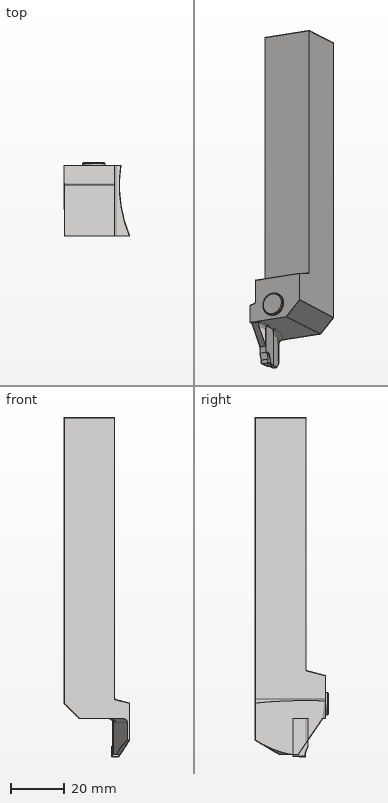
import cadquery as cq

total_height = 127.0
shank_width = 19.0
shank_depth = 19.0
head_width = 24.6
head_depth = 26.4
head_bottom = 14.4
corner_chamfer = 5.8
side_ledge_inner = 21.6
side_ledge_outer = 20.2
back_ledge_inner = 32.4
back_ledge_outer = 30.5
ledge_radius = 0.5
side_taper = 0.3

waist_y = 19.0
blade_outer_waist = 20.8
blade_inner_waist = 18.3
blade_front_thickness = 0.9
blade_bottom = 0.9
blade_front_bottom = 6.4
blade_slope_end = 9.1
blade_back_top = 25.3
blade_root_radius = 1.4
outer_corner_height = 6.4
outer_corner_foot = 21.1

insert_front = 14.1
insert_back = 19.8
insert_face = 18.2
tip_face = 17.8
tip_back = 18.8
rake_end_height = 1.5
rake_start_height = 4.0
tip_chamfer = 0.4
bottom_relief = 0.3
flare_start_y = 16.0
flare_arc_middle = (17.1, 2.9)
flare_arc_top_y = 17.9

screw_diameter = 8.5
screw_height = 1.0
screw_chamfer = 0.4
screw_x = 11.2
screw_z = 20.0


def arc_x(waist_x, front_x, y):
    """X on the circular arc that runs from front_x at y = 0 to its waist at waist_y."""
    rise = front_x - waist_x
    radius = (waist_y**2 + rise**2) / (2 * rise)
    return waist_x + radius - (radius**2 - (y - waist_y) ** 2) ** 0.5


def outer_x(y):
    return arc_x(blade_outer_waist, head_width, y)


def inner_x(y):
    return arc_x(blade_inner_waist, head_width - blade_front_thickness, y)


def extrude_along_y(points, start, end):
    """Extrude an XZ outline between two Y positions."""
    outline = cq.Workplane("XZ", origin=(0, start, 0)).polyline(points).close()
    return outline.extrude(start - end)


def extrude_along_x(points, length):
    """Extrude a YZ outline from x = 0."""
    return cq.Workplane("YZ").polyline(points).close().extrude(length)


def start_plan(left_edge):
    """Open XY outline: front edge, curved outer face and back edge, ending at the left."""
    front_left, back_left = left_edge
    middle = head_depth / 2
    return (
        cq.Workplane("XY")
        .moveTo(front_left, 0)
        .lineTo(head_width, 0)
        .threePointArc((outer_x(middle), middle), (outer_x(head_depth), head_depth))
        .lineTo(back_left, head_depth)
    )


def make_shank_and_head():
    front_outline = extrude_along_y(
        [
            (0, total_height),
            (shank_width, total_height),
            (shank_width, side_ledge_inner),
            (head_width, side_ledge_outer),
            (head_width, head_bottom),
            (corner_chamfer, head_bottom),
            (0, head_bottom + corner_chamfer),
        ],
        0,
        head_depth,
    )
    side_outline = extrude_along_x(
        [
            (0, head_bottom),
            (0, total_height),
            (shank_depth, total_height),
            (shank_depth, back_ledge_inner),
            (head_depth, back_ledge_outer),
            (head_depth, head_bottom),
        ],
        head_width,
    )
    plan = start_plan((side_taper, 0)).close().extrude(total_height)
    body = front_outline.intersect(side_outline).intersect(plan)
    ledge_corners = [
        (shank_width, shank_depth / 2, side_ledge_inner),
        (shank_width / 2, shank_depth, back_ledge_inner),
    ]
    for corner in ledge_corners:
        body = body.edges(cq.selectors.NearestToPointSelector(corner)).fillet(ledge_radius)
    return body


def make_blade():
    middle = head_depth / 2
    plan = (
        start_plan((head_width - blade_front_thickness, inner_x(head_depth)))
        .threePointArc((inner_x(middle), middle), (head_width - blade_front_thickness, 0))
        .close()
        .extrude(head_bottom)
    )
    slope = (blade_back_top - insert_back) / (head_bottom - blade_front_bottom)
    back_bottom = insert_back - slope * (blade_front_bottom - blade_bottom)
    side_outline = extrude_along_x(
        [
            (0, head_bottom),
            (0, blade_front_bottom),
            (blade_slope_end, blade_bottom),
            (back_bottom, blade_bottom),
            (blade_back_top, head_bottom),
        ],
        head_width,
    )
    corner_cut = extrude_along_y(
        [
            (head_width, outer_corner_height),
            (head_width, 0),
            (outer_corner_foot, 0),
            (outer_corner_foot, blade_bottom),
        ],
        0,
        head_depth,
    )
    return plan.intersect(side_outline).cut(corner_cut)


def make_screw_head():
    screw = cq.Workplane("XZ", origin=(screw_x, head_depth, screw_z)).circle(screw_diameter / 2)
    return screw.extrude(-screw_height).faces(">Y").chamfer(screw_chamfer)


def make_tip_flare():
    """Side flare of the tip: a thin wedge, widest at the cutting edge, with a round border."""
    border = (
        cq.Workplane("YZ")
        .moveTo(flare_start_y, 0)
        .threePointArc(flare_arc_middle, (flare_arc_top_y, rake_start_height))
        .lineTo(insert_back, rake_start_height)
        .lineTo(insert_back, 0)
        .close()
        .extrude(head_width)
    )
    wedge = (
        cq.Workplane("XY")
        .polyline(
            [
                (insert_face, flare_start_y),
                (tip_face, tip_back),
                (tip_face, insert_back),
                (blade_outer_waist, insert_back),
                (blade_outer_waist, flare_start_y),
            ]
        )
        .close()
        .extrude(rake_start_height)
    )
    return wedge.intersect(border)


def make_insert():
    strip = cq.Workplane("XY").box(
        blade_outer_waist - insert_face, insert_back - insert_front, head_bottom, centered=False
    )
    strip = strip.translate((insert_face, insert_front, 0))
    front_outline = extrude_along_y(
        [
            (tip_face, head_bottom),
            (blade_outer_waist, head_bottom),
            (blade_outer_waist, tip_chamfer),
            (blade_outer_waist - tip_chamfer, 0),
            (tip_face + tip_chamfer, 0),
            (tip_face, tip_chamfer),
        ],
        insert_front,
        insert_back,
    )
    side_outline = extrude_along_x(
        [
            (insert_front, bottom_relief),
            (tip_back, 0),
            (tip_back, rake_end_height),
            (insert_back, rake_start_height),
            (insert_back, head_bottom),
            (insert_front, head_bottom),
        ],
        head_width,
    )
    return strip.union(make_tip_flare()).intersect(front_outline).intersect(side_outline)


def make_holder(insert):
    """Holder with its blade and screw head, and a seat cut for the insert."""
    holder = make_shank_and_head().union(make_blade())
    margin = 0.1
    root = cq.selectors.BoxSelector(
        (blade_inner_waist - margin, -margin, head_bottom - margin),
        (head_width, head_depth, head_bottom + margin),
    )
    holder = holder.edges(root).edges("<X").fillet(blade_root_radius)
    seat = cq.Workplane("XY").box(
        blade_outer_waist, insert_back - insert_front, head_bottom, centered=False
    ).translate((0, insert_front, 0))
    return holder.cut(seat).union(make_screw_head())


insert = make_insert()
holder = make_holder(insert)
result = cq.Compound.makeCompound([holder.val(), insert.val()])